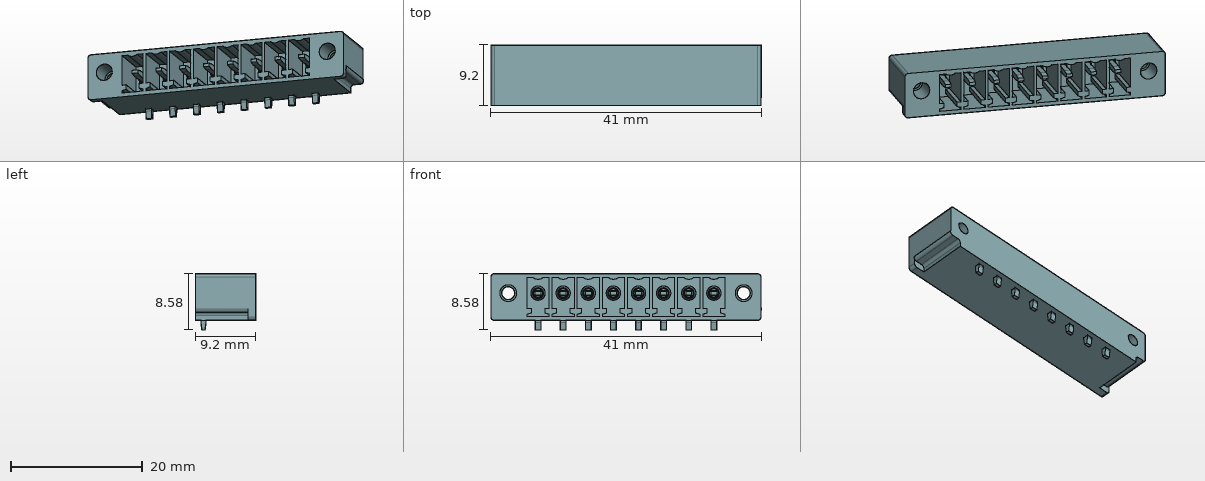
import cadquery as cq
import math


POLE_COUNT = 8
PITCH = 3.81
pole_xs = [(i - (POLE_COUNT - 1) / 2) * PITCH for i in range(POLE_COUNT)]

TOTAL_LENGTH = 41.05
LIP_PROUD = 0.06
LENGTH = TOTAL_LENGTH - LIP_PROUD
DEPTH = 9.2
HEIGHT = 7.1
half_length = LENGTH / 2
CORNER_RADIUS = 0.55

FLANGE_DEPTH = 1.25
RECESS_HEIGHT = 0.75
RECESS_INSET = 1.97
RECESS_RADIUS = 0.5
step_z = RECESS_HEIGHT + RECESS_RADIUS
lip_axis_z = step_z + RECESS_RADIUS

SCREW_X = 17.85
AXIS_Z = 4.15
SCREW_HOLE_DIAMETER = 1.95
SCREW_BORE_DIAMETER = 2.55
SCREW_BORE_DEPTH = 4.1

POCKET_WIDTH = 3.35
POCKET_FLOOR = 0.6
POCKET_TOP = HEIGHT - POCKET_FLOOR
POCKET_DEPTH = 6.57
TAB_WIDTH = 0.65
TAB_TOP = 1.85
TAB_SIDE_BOTTOM = 1.15
TAB_ROOT_BOTTOM = 0.95
BUMP_WIDTH = 1.48
BUMP_DROP = 0.25

BOSS_ROOT_DIAMETER = 2.18
BOSS_SHOULDER_DIAMETER = 1.65
BOSS_TIP_DIAMETER = 1.35
BOSS_SHOULDER_LENGTH = 1.03
BOSS_LENGTH = 1.2

PIN_WIDTH = 0.9
PIN_THICKNESS = 0.82
PIN_TIP_THICKNESS = 0.5
PIN_TAPER = 1.15
PIN_FRONT_Y = 1.2
TAIL_Y = 7.95
TAIL_LENGTH = 1.48


def flange():
    """Front plate of the full length and height, with four rounded corners."""
    return (
        cq.Workplane("XY")
        .box(LENGTH, FLANGE_DEPTH, HEIGHT, centered=(True, False, False))
        .edges("|Y")
        .fillet(CORNER_RADIUS)
    )


def rear_block():
    """Block behind the flange, with an S-shaped step under each end and a lip on the +X end."""
    lip_x = half_length + LIP_PROUD
    lip_axis_x = lip_x - RECESS_RADIUS
    lip_top_z = lip_axis_z + math.sqrt(RECESS_RADIUS**2 - (half_length - lip_axis_x) ** 2)
    r = RECESS_RADIUS
    s = r * math.sqrt(0.5)
    left_wall_x = -half_length + RECESS_INSET
    right_wall_x = half_length - RECESS_INSET
    profile = (
        cq.Workplane("XZ")
        .moveTo(left_wall_x, 0)
        .lineTo(right_wall_x, 0)
        .lineTo(right_wall_x, RECESS_HEIGHT)
        .threePointArc((right_wall_x + r - s, step_z - r + s), (right_wall_x + r, step_z))
        .lineTo(lip_axis_x, step_z)
        .threePointArc((lip_x, lip_axis_z), (half_length, lip_top_z))
        .lineTo(half_length, HEIGHT)
        .lineTo(-half_length, HEIGHT)
        .lineTo(-half_length, lip_axis_z)
        .threePointArc((-half_length + r - s, lip_axis_z - s), (-half_length + r, step_z))
        .lineTo(left_wall_x - r, step_z)
        .threePointArc((left_wall_x - r + s, step_z - r + s), (left_wall_x, RECESS_HEIGHT))
        .close()
    )
    block = profile.extrude(-(DEPTH - FLANGE_DEPTH)).translate((0, FLANGE_DEPTH, 0))
    return block.edges("|Y and >Z").fillet(CORNER_RADIUS)


def pocket(x):
    """Plug pocket with keying tabs left in its sides and a rib left in its ceiling."""
    half = POCKET_WIDTH / 2
    side = half - TAB_WIDTH
    return (
        cq.Workplane("XZ")
        .moveTo(-half, POCKET_FLOOR)
        .lineTo(half, POCKET_FLOOR)
        .lineTo(half, TAB_ROOT_BOTTOM)
        .lineTo(side, TAB_SIDE_BOTTOM)
        .lineTo(side, TAB_TOP)
        .lineTo(half, TAB_TOP)
        .lineTo(half, POCKET_TOP)
        .lineTo(BUMP_WIDTH / 2, POCKET_TOP)
        .threePointArc((0, POCKET_TOP - BUMP_DROP), (-BUMP_WIDTH / 2, POCKET_TOP))
        .lineTo(-half, POCKET_TOP)
        .lineTo(-half, TAB_TOP)
        .lineTo(-side, TAB_TOP)
        .lineTo(-side, TAB_SIDE_BOTTOM)
        .lineTo(-half, TAB_ROOT_BOTTOM)
        .close()
        .extrude(-POCKET_DEPTH)
        .translate((x, 0, 0))
    )


def boss(x):
    """Round boss with a tapered side and a chamfered tip, standing on the pocket's back wall."""
    shoulder_y = POCKET_DEPTH - BOSS_SHOULDER_LENGTH
    tip_y = POCKET_DEPTH - BOSS_LENGTH
    return (
        cq.Workplane("XY")
        .moveTo(0, POCKET_DEPTH)
        .lineTo(BOSS_ROOT_DIAMETER / 2, POCKET_DEPTH)
        .lineTo(BOSS_SHOULDER_DIAMETER / 2, shoulder_y)
        .lineTo(BOSS_TIP_DIAMETER / 2, tip_y)
        .lineTo(0, tip_y)
        .close()
        .revolve(360, (0, 0, 0), (0, 1, 0))
        .translate((x, 0, AXIS_Z))
    )


def contact_pin(x):
    """Rectangular L-shaped pin; both ends are tapered on two sides."""
    side = PIN_THICKNESS / 2
    tip = PIN_TIP_THICKNESS / 2
    outline = [
        (PIN_FRONT_Y, AXIS_Z - tip),
        (PIN_FRONT_Y + PIN_TAPER, AXIS_Z - side),
        (TAIL_Y - side, AXIS_Z - side),
        (TAIL_Y - side, -TAIL_LENGTH + PIN_TAPER),
        (TAIL_Y - tip, -TAIL_LENGTH),
        (TAIL_Y + tip, -TAIL_LENGTH),
        (TAIL_Y + side, -TAIL_LENGTH + PIN_TAPER),
        (TAIL_Y + side, AXIS_Z + side),
        (PIN_FRONT_Y + PIN_TAPER, AXIS_Z + side),
        (PIN_FRONT_Y, AXIS_Z + tip),
    ]
    profile = cq.Workplane("YZ").polyline(outline).close()
    return profile.extrude(PIN_WIDTH / 2, both=True).translate((x, 0, 0))


def screw_hole(x):
    """Through hole with a wider bore from the mating face."""
    hole = cq.Workplane("XZ").circle(SCREW_HOLE_DIAMETER / 2).extrude(-DEPTH)
    bore = cq.Workplane("XZ").circle(SCREW_BORE_DIAMETER / 2).extrude(-SCREW_BORE_DEPTH)
    return hole.union(bore).translate((x, 0, AXIS_Z))


pins = [contact_pin(x) for x in pole_xs]

housing = flange().union(rear_block())
for x in (-SCREW_X, SCREW_X):
    housing = housing.cut(screw_hole(x))
for x, pin in zip(pole_xs, pins):
    housing = housing.cut(pocket(x)).union(boss(x)).cut(pin)

result = cq.Compound.makeCompound([housing.val(), *[pin.val() for pin in pins]])